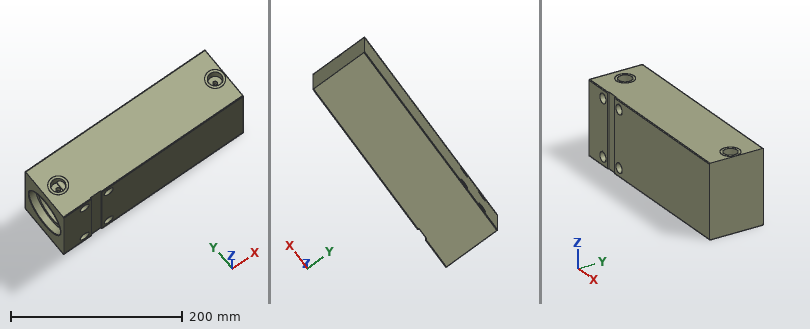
import cadquery as cq

LENGTH = 262.0
WIDTH = 75.0
HEIGHT = 100.0
EDGE_CHAMFER = 1.0
MID_Y = WIDTH / 2
MID_Z = HEIGHT / 2

END_WALL = 10.0
BORE_DEPTH = LENGTH - END_WALL
BORE_RADIUS = 25.0
COUNTERBORE_RADIUS = 30.75
COUNTERBORE_DEPTH = 10.0
MOUTH_CHAMFER = 0.75

PORT_X = (20.0, LENGTH - 13.0)
PORT_DIAMETER = 18.0
PORT_DEPTH = 12.0
SPOTFACE_DIAMETER = 24.5
SPOTFACE_DEPTH = 0.2
PILOT_DIAMETER = 5.5
PILOT_DEPTH = 20.0

GROOVE_CENTER_X = 48.0
GROOVE_WIDTH = 15.0
GROOVE_DEPTH = 2.0

MOUNT_DIAMETER = 13.0
MOUNT_SPACING_X = 35.0
MOUNT_EDGE_DISTANCE = 12.0
MOUNT_SPACING_Z = HEIGHT - 2 * MOUNT_EDGE_DISTANCE


def make_block():
    block = cq.Workplane("XY").box(LENGTH, WIDTH, HEIGHT, centered=False)
    return block.edges("|X").chamfer(EDGE_CHAMFER)


def make_bore():
    """Stepped bore with a chamfered mouth, revolved about its axis along X."""
    half_profile = [
        (0, 0),
        (0, COUNTERBORE_RADIUS + MOUTH_CHAMFER),
        (MOUTH_CHAMFER, COUNTERBORE_RADIUS),
        (COUNTERBORE_DEPTH, COUNTERBORE_RADIUS),
        (COUNTERBORE_DEPTH, BORE_RADIUS),
        (BORE_DEPTH, BORE_RADIUS),
        (BORE_DEPTH, 0),
    ]
    profile_plane = cq.Workplane("XY", origin=(0, MID_Y, MID_Z))
    return profile_plane.polyline(half_profile).close().revolve(360, (0, 0), (1, 0))


def top_drilling(x, diameter, depth):
    top = cq.Workplane("XY", origin=(x, MID_Y, HEIGHT))
    return top.circle(diameter / 2).extrude(-depth)


def make_port(x):
    spotface = top_drilling(x, SPOTFACE_DIAMETER, SPOTFACE_DEPTH)
    port = top_drilling(x, PORT_DIAMETER, PORT_DEPTH)
    pilot = top_drilling(x, PILOT_DIAMETER, PILOT_DEPTH)
    return spotface.union(port).union(pilot)


def make_groove():
    front = cq.Workplane("XZ").center(GROOVE_CENTER_X, MID_Z)
    return front.rect(GROOVE_WIDTH, HEIGHT).extrude(-GROOVE_DEPTH)


def make_mounting_holes():
    front = cq.Workplane("XZ").center(GROOVE_CENTER_X, MID_Z)
    spots = front.rarray(MOUNT_SPACING_X, MOUNT_SPACING_Z, 2, 2)
    return spots.circle(MOUNT_DIAMETER / 2).extrude(-WIDTH)


result = make_block().cut(make_bore())
for port_x in PORT_X:
    result = result.cut(make_port(port_x))
result = result.cut(make_groove()).cut(make_mounting_holes())